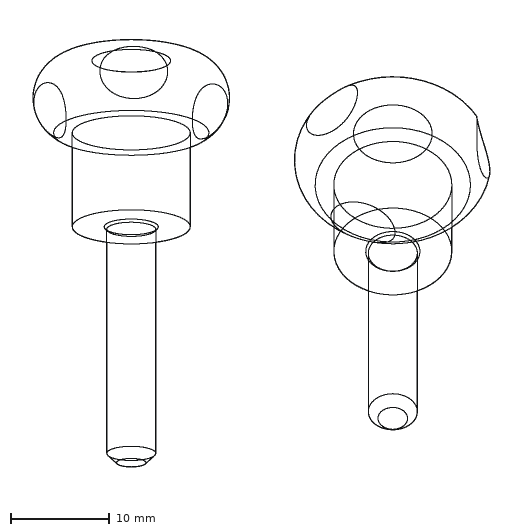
import cadquery as cq
import math

total_height = 43.0
head_height = 8.0
collar_height = 9.98
collar_top = total_height - head_height
collar_bottom = collar_top - collar_height

pin_radius = 5.0 / 2
tip_chamfer = 1.0
collar_radius = 12.0 / 2
neck_flare = 0.25

head_radius = 20.0 / 2
rim_radius = 4.3
rim_center_radius = head_radius - rim_radius
rim_center_z = total_height - rim_radius
dish_radius = 4.0

scallop_count = 3
first_scallop_angle = -90
scallop_radius = 15.0
scallop_floor_radius = 9.0


def rim_offset(distance):
    """Other leg of the right triangle inside the rim circle."""
    return math.sqrt(rim_radius**2 - distance**2)


def make_body():
    """Revolve the pin, collar and head as one profile about Z."""
    dish_z = rim_center_z + rim_offset(rim_center_radius - dish_radius)
    head_base_radius = rim_center_radius + rim_offset(rim_center_z - collar_top)
    return (
        cq.Workplane("XZ")
        .moveTo(0, 0)
        .lineTo(pin_radius - tip_chamfer, 0)
        .lineTo(pin_radius, tip_chamfer)
        .lineTo(pin_radius, collar_bottom - neck_flare)
        .lineTo(pin_radius + neck_flare, collar_bottom)
        .lineTo(collar_radius, collar_bottom)
        .lineTo(collar_radius, collar_top)
        .lineTo(head_base_radius, collar_top)
        .threePointArc((head_radius, rim_center_z), (dish_radius, dish_z))
        .lineTo(0, dish_z)
        .close()
        .revolve(360, (0, 0, 0), (0, 1, 0))
    )


def make_scallops():
    """Cutting cylinders for the finger scallops, as tall as the head."""
    return (
        cq.Workplane("XY")
        .workplane(offset=collar_top)
        .polarArray(scallop_floor_radius + scallop_radius, first_scallop_angle, 360, scallop_count)
        .circle(scallop_radius)
        .extrude(head_height, combine=False)
    )


result = make_body().cut(make_scallops())